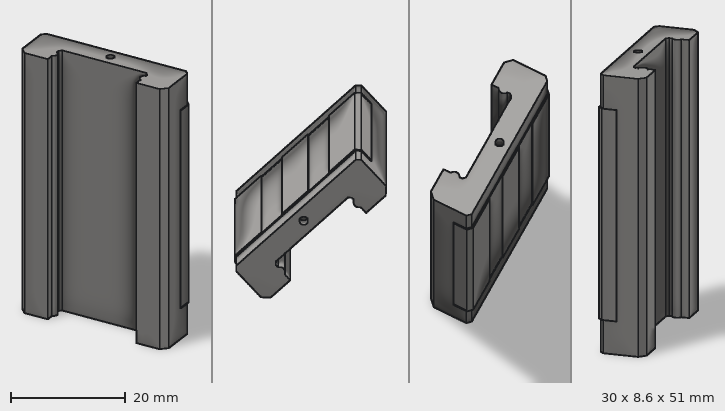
import cadquery as cq

length = 51.0
overall_width = 30.0
overall_height = 8.6

jacket_length = 38.75
jacket_side_step = 0.15
jacket_back_step = 0.3
jacket_skirt_height = 5.1
jacket_chamfer = 0.8
groove_width = 4.9
groove_spacing = 11.1
groove_depth = 0.15

body_width = overall_width - 2 * jacket_side_step
body_height = overall_height - jacket_back_step
open_side_chamfer = 1.15
closed_side_chamfer = 0.7

cavity_width = 17.95
cavity_height = 4.2
roof_chamfer = 0.45
bead_bottom = 1.45
bead_top = 3.15
bead_projection = 0.55

hole_diameter = 1.5
hole_depth = 3.05
hole_height = 6.3


def extrude_centred(outline, extent):
    """Extrude a closed XY outline along Z into a bar centred on Z = 0."""
    return outline.extrude(extent).translate((0, 0, -extent / 2))


def symmetric_outline(right_side):
    """Close the right-hand points with their mirror images across X = 0."""
    left_side = [(-x, y) for x, y in reversed(right_side)]
    return cq.Workplane("XY").polyline(right_side + left_side).close()


def make_body():
    """Outer block with all four long corners chamfered."""
    half = body_width / 2
    right_side = [
        (half - open_side_chamfer, 0),
        (half, open_side_chamfer),
        (half, body_height - closed_side_chamfer),
        (half - closed_side_chamfer, body_height),
    ]
    return extrude_centred(symmetric_outline(right_side), length)


def make_jacket():
    """Raised shorter layer over the closed side, with two lengthwise grooves."""
    half = overall_width / 2
    right_side = [
        (half, jacket_skirt_height),
        (half, overall_height - jacket_chamfer),
        (half - jacket_chamfer, overall_height),
    ]
    jacket = extrude_centred(symmetric_outline(right_side), jacket_length)
    grooves = (
        cq.Workplane("XY")
        .pushPoints([(side * groove_spacing / 2, overall_height) for side in (-1, 1)])
        .rect(groove_width, 2 * groove_depth)
    )
    return jacket.cut(extrude_centred(grooves, jacket_length))


def make_cavity():
    """Space between the lips, narrowed by a rounded bead along each lip."""
    half = cavity_width / 2
    bead_tip = half - bead_projection
    bead_middle = (bead_bottom + bead_top) / 2
    outline = (
        cq.Workplane("XY")
        .moveTo(half, 0)
        .lineTo(half, bead_bottom)
        .threePointArc((bead_tip, bead_middle), (half, bead_top))
        .lineTo(half, cavity_height - roof_chamfer)
        .lineTo(half - roof_chamfer, cavity_height)
        .lineTo(-half + roof_chamfer, cavity_height)
        .lineTo(-half, cavity_height - roof_chamfer)
        .lineTo(-half, bead_top)
        .threePointArc((-bead_tip, bead_middle), (-half, bead_bottom))
        .lineTo(-half, 0)
        .close()
    )
    return extrude_centred(outline, length)


def make_end_holes():
    """Blind holes entering from both end faces."""
    top_hole = (
        cq.Workplane("XY", origin=(0, hole_height, length / 2))
        .circle(hole_diameter / 2)
        .extrude(-hole_depth)
    )
    return top_hole.union(top_hole.mirror("XY"))


result = make_body().union(make_jacket()).cut(make_cavity()).cut(make_end_holes())